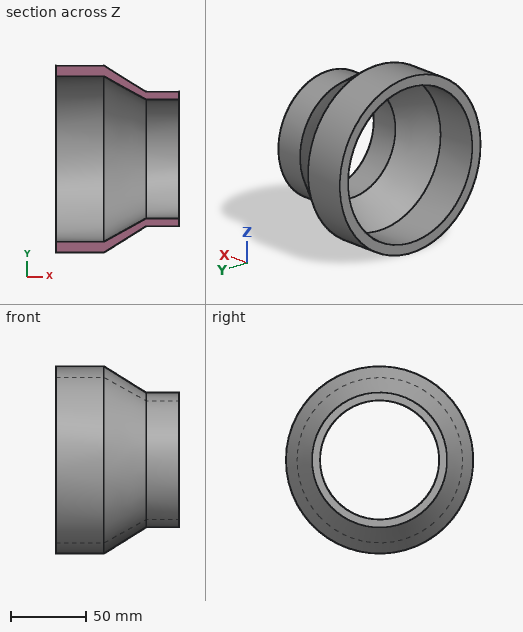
import cadquery as cq

large_diameter = 125.0
large_wall = 7.4
large_length = 32.0

small_diameter = 90.0
small_wall = 5.4
small_length = 22.0

total_length = 82.0

large_radius = large_diameter / 2
small_radius = small_diameter / 2
large_bore_radius = large_radius - large_wall
small_bore_radius = small_radius - small_wall
cone_start = large_length
cone_end = total_length - small_length


def reducer():
    """Revolve the wall section, drawn on the -Y side, about the X axis."""
    section = (
        cq.Workplane("XY")
        .moveTo(0, -large_radius)
        .lineTo(cone_start, -large_radius)
        .lineTo(cone_end, -small_radius)
        .lineTo(total_length, -small_radius)
        .lineTo(total_length, -small_bore_radius)
        .lineTo(cone_end, -small_bore_radius)
        .lineTo(cone_start, -large_bore_radius)
        .lineTo(0, -large_bore_radius)
        .close()
    )
    return section.revolve(360, (0, 0, 0), (1, 0, 0))


result = reducer()